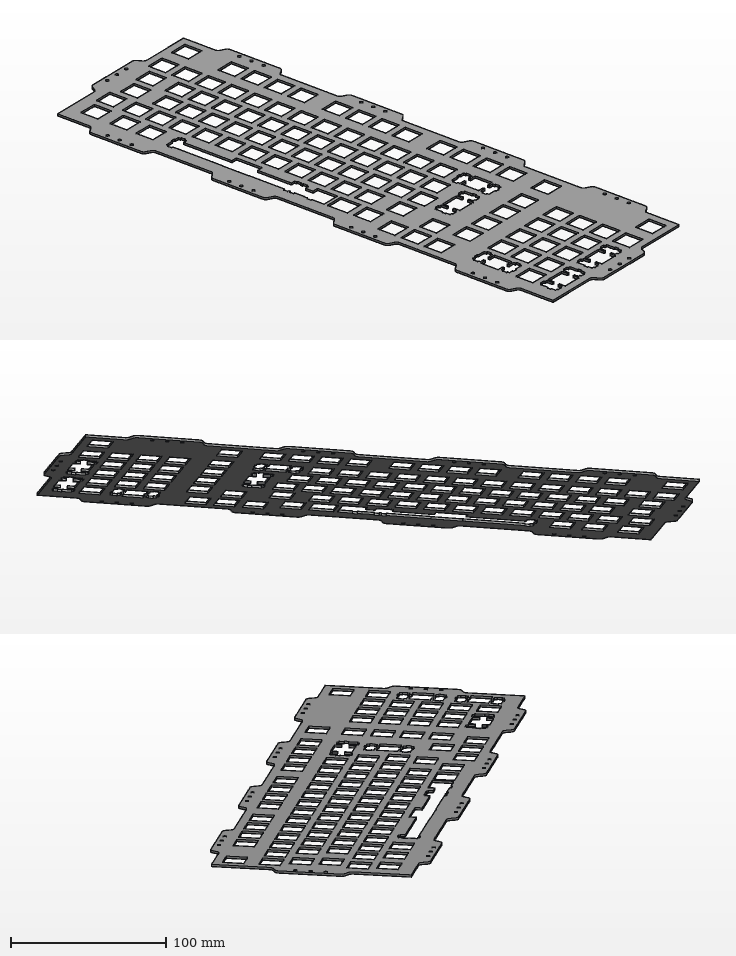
import cadquery as cq


PLATE_LENGTH = 419.81
PLATE_WIDTH = 143.8
THICKNESS = 1.6
TAB_DEPTH = 6.5
BODY_LENGTH = PLATE_LENGTH - 2 * TAB_DEPTH
BODY_WIDTH = PLATE_WIDTH - 2 * TAB_DEPTH

TAB_WIDTH = 47.75
TAB_FLANK_RUN = 3.5
TAB_FILLET = 3.0
TAB_PITCH = 100.0
TABS_PER_LONG_SIDE = 4
SCREW_DIAMETER = 2.2
SCREW_PITCH = 9.9
SCREW_EDGE_DISTANCE = 3.5

KEY_UNIT = 19.05
LAYOUT_COLUMNS = 21.0
LAYOUT_SHIFT = -0.05
SWITCH_SIZE = 14.0

FUNCTION_ROW = 2.75
NUMBER_ROW = 1.5
TOP_LETTER_ROW = 0.5
HOME_ROW = -0.5
LOWER_LETTER_ROW = -1.5
BOTTOM_ROW = -2.5
UP_ARROW_ROW = -1.75
ARROW_ROW = -2.75

NAVIGATION_COLUMN = 16.0
UP_ARROW_COLUMN = 14.75
NUMPAD_COLUMNS = [17.5, 18.5, 19.5]
LAST_COLUMN = 20.5


def key_run(first, count):
    """Columns of neighbouring one-unit keys."""
    return [first + i for i in range(count)]


SWITCH_ROWS = [
    (FUNCTION_ROW, [0.5] + key_run(2.5, 4) + key_run(7.0, 4) + key_run(11.5, 4)),
    (FUNCTION_ROW, [NAVIGATION_COLUMN, LAST_COLUMN]),
    (NUMBER_ROW, key_run(0.5, 13) + [NAVIGATION_COLUMN] + NUMPAD_COLUMNS + [LAST_COLUMN]),
    (TOP_LETTER_ROW, [0.75] + key_run(2.0, 12) + [NAVIGATION_COLUMN] + NUMPAD_COLUMNS),
    (HOME_ROW, [0.875] + key_run(2.25, 12) + [NAVIGATION_COLUMN] + NUMPAD_COLUMNS),
    (LOWER_LETTER_ROW, [0.625] + key_run(1.75, 11) + [13.125, NAVIGATION_COLUMN] + NUMPAD_COLUMNS),
    (BOTTOM_ROW, [0.75, 2.0, 3.125, 12.5, NUMPAD_COLUMNS[-1]]),
    (UP_ARROW_ROW, [UP_ARROW_COLUMN]),
    (ARROW_ROW, key_run(UP_ARROW_COLUMN - 1, 3)),
]

MODIFIER_COLUMN_PAIRS = [(10.375, 10.5), (11.375, 11.5)]

MIDDLE_OF_LETTER_ROWS = (TOP_LETTER_ROW + HOME_ROW) / 2
MIDDLE_OF_BOTTOM_ROWS = (LOWER_LETTER_ROW + BOTTOM_ROW) / 2

TWO_UNIT_KEYS = [
    (14.0, NUMBER_ROW, 0),
    (14.375, MIDDLE_OF_LETTER_ROWS, -90),
    (18.0, BOTTOM_ROW, 180),
    (LAST_COLUMN, MIDDLE_OF_LETTER_ROWS, -90),
    (LAST_COLUMN, MIDDLE_OF_BOTTOM_ROWS, -90),
]
TWO_UNIT_STABILIZER_OFFSET = 11.938

STABILIZER_WIDTH = 6.75
STABILIZER_TOP = 5.53
STABILIZER_BOTTOM = -6.77
CLIP_WIDTH = 3.3
CLIP_TOP = 6.45
CLIP_BOTTOM = -7.97
WIRE_NOTCH_REACH = 4.2
WIRE_NOTCH_TOP = 2.3
WIRE_NOTCH_BOTTOM = -0.5
CHANNEL_HALF_HEIGHT = 2.3

SPACE_SWITCH_COLUMNS = [6.875, 7.25]
SPACE_LEFT_STABILIZER_COLUMN = 4.25
SPACE_RIGHT_STABILIZER_COLUMNS = [9.25, 9.5, 10.25]


def column_x(column):
    return (column - LAYOUT_COLUMNS / 2) * KEY_UNIT


def row_y(row):
    return row * KEY_UNIT + LAYOUT_SHIFT


def block(x_min, x_max, y_min, y_max):
    """Rectangular block as thick as the plate."""
    size_x = x_max - x_min
    size_y = y_max - y_min
    return cq.Workplane("XY").box(size_x, size_y, THICKNESS, centered=False).translate((x_min, y_min, 0))


def tab(x, y, angle):
    """Tab pointing along +Y at angle 0; (x, y) is the middle of its root on the plate edge."""
    tip = (TAB_WIDTH - TAB_FLANK_RUN) / 2
    root = (TAB_WIDTH + TAB_FLANK_RUN) / 2
    foot = root + TAB_DEPTH
    right_side = [(foot, -TAB_DEPTH), (foot, 0), (root, 0), (tip, TAB_DEPTH)]
    left_side = [(-corner_x, corner_y) for corner_x, corner_y in reversed(right_side)]
    shape = cq.Workplane("XY").polyline(right_side + left_side).close().extrude(THICKNESS)
    bend_half = (root + foot) / 2
    bends = cq.selectors.BoxSelector((-bend_half, -TAB_DEPTH / 2, 0), (bend_half, 2 * TAB_DEPTH, THICKNESS))
    shape = shape.edges("|Z").edges(bends).fillet(TAB_FILLET)

    screw_y = TAB_DEPTH - SCREW_EDGE_DISTANCE
    screw_centres = [(i * SCREW_PITCH, screw_y) for i in (-1, 0, 1)]
    screws = cq.Workplane("XY").pushPoints(screw_centres).circle(SCREW_DIAMETER / 2).extrude(THICKNESS)
    return shape.cut(screws).rotate((0, 0, 0), (0, 0, 1), angle).translate((x, y, 0))


def plate_blank():
    plate = block(-BODY_LENGTH / 2, BODY_LENGTH / 2, -BODY_WIDTH / 2, BODY_WIDTH / 2)
    for i in range(TABS_PER_LONG_SIDE):
        x = (i - (TABS_PER_LONG_SIDE - 1) / 2) * TAB_PITCH
        plate = plate.union(tab(x, BODY_WIDTH / 2, 0))
        plate = plate.union(tab(x, -BODY_WIDTH / 2, 180))
    plate = plate.union(tab(-BODY_LENGTH / 2, 0, 90))
    plate = plate.union(tab(BODY_LENGTH / 2, 0, -90))
    return plate


def switch_hole(x, y):
    half = SWITCH_SIZE / 2
    return block(x - half, x + half, y - half, y + half)


def stabilizer_hole(x, side):
    """Hole for one stabilizer housing at distance x; side is +1 or -1, where the wire notch points."""
    half = STABILIZER_WIDTH / 2
    housing = block(x - half, x + half, STABILIZER_BOTTOM, STABILIZER_TOP)
    clips = block(x - CLIP_WIDTH / 2, x + CLIP_WIDTH / 2, CLIP_BOTTOM, CLIP_TOP)
    notch_end = x + side * WIRE_NOTCH_REACH
    notch = block(min(x, notch_end), max(x, notch_end), WIRE_NOTCH_BOTTOM, WIRE_NOTCH_TOP)
    return housing.union(clips).union(notch)


def two_unit_hole():
    offset = TWO_UNIT_STABILIZER_OFFSET
    hole = switch_hole(0, 0)
    hole = hole.union(block(-offset, offset, -CHANNEL_HALF_HEIGHT, CHANNEL_HALF_HEIGHT))
    for side in (-1, 1):
        hole = hole.union(stabilizer_hole(side * offset, side))
    return hole


def space_bar_hole():
    left_x = column_x(SPACE_LEFT_STABILIZER_COLUMN)
    right_xs = [column_x(column) for column in SPACE_RIGHT_STABILIZER_COLUMNS]
    hole = block(left_x, max(right_xs), STABILIZER_BOTTOM, CHANNEL_HALF_HEIGHT)
    hole = hole.union(stabilizer_hole(left_x, -1))
    for x in right_xs:
        hole = hole.union(stabilizer_hole(x, 1))
    for column in SPACE_SWITCH_COLUMNS:
        hole = hole.union(switch_hole(column_x(column), 0))
    return hole.translate((0, row_y(BOTTOM_ROW), 0))


def switch_holes():
    """All separate one-unit switch holes."""
    centres = [(column_x(column), row_y(row)) for row, columns in SWITCH_ROWS for column in columns]
    return cq.Workplane("XY").pushPoints(centres).rect(SWITCH_SIZE, SWITCH_SIZE).extrude(THICKNESS)


def cut_modifier_holes(plate):
    """Cut each pair of overlapping switch positions as one wide hole."""
    half = SWITCH_SIZE / 2
    y = row_y(BOTTOM_ROW)
    for first, last in MODIFIER_COLUMN_PAIRS:
        plate = plate.cut(block(column_x(first) - half, column_x(last) + half, y - half, y + half))
    return plate


def cut_two_unit_holes(plate):
    hole = two_unit_hole()
    for column, row, angle in TWO_UNIT_KEYS:
        turned = hole.rotate((0, 0, 0), (0, 0, 1), angle)
        plate = plate.cut(turned.translate((column_x(column), row_y(row), 0)))
    return plate


result = plate_blank()
result = result.cut(switch_holes())
result = cut_modifier_holes(result)
result = cut_two_unit_holes(result)
result = result.cut(space_bar_hole())